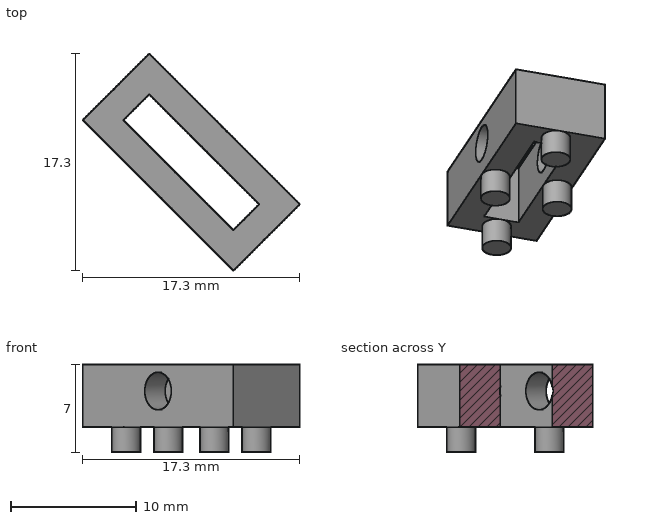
import cadquery as cq

frame_length = 16.99
frame_width = 7.5
frame_height = 5.0
wall = 2.3
turn_angle = -45

pin_diameter = wall
pin_length = 2.0

hole_diameter = 3.0
hole_height = 2.88

frame = (
    cq.Workplane("XY")
    .rect(frame_length, frame_width)
    .rect(frame_length - 2 * wall, frame_width - 2 * wall)
    .extrude(frame_height)
)

cross_hole = (
    cq.Workplane("XZ")
    .center(0, hole_height)
    .circle(hole_diameter / 2)
    .extrude(frame_width, both=True)
)

end_pin_offset = (frame_length - wall) / 2
side_pin_offset = (frame_width - wall) / 2
pin_centres = [
    (-end_pin_offset, 0),
    (end_pin_offset, 0),
    (0, -side_pin_offset),
    (0, side_pin_offset),
]
pins = (
    cq.Workplane("XY")
    .pushPoints(pin_centres)
    .circle(pin_diameter / 2)
    .extrude(-pin_length)
)

result = (
    frame.cut(cross_hole)
    .union(pins)
    .rotate((0, 0, 0), (0, 0, 1), turn_angle)
)